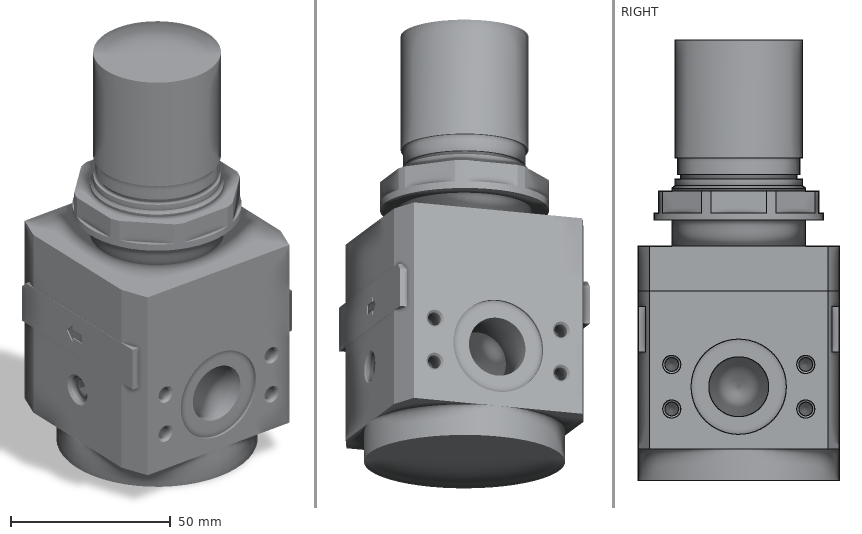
import cadquery as cq
import math

base_top = 10.0
bonnet_bottom = 59.3
bonnet_top = 73.4
nut_bottom = 81.5
nut_flats_bottom = 83.8
nut_top = 90.7
neck_chamfer_bottom = 91.5
neck_chamfer_top = 92.3
neck_top = 94.4
groove_top = 95.8
skirt_top = 101.0
knob_top = 138.0

block_width = 63.0
block_depth = 62.9
corner_cut_x = 9.0
corner_cut_y = 3.5

base_diameter = block_width
neck_diameter = 42.0
neck_lip_diameter = 40.0
groove_diameter = 36.5
skirt_diameter = 38.4
knob_diameter = 40.0

nut_diameter = 53.0
nut_across_flats = 50.1
nut_flat_count = 8

plate_width = 56.9
plate_bottom = 40.3
plate_top = 54.5
plate_corner_cut = 2.1
plate_depth = 4.1
plate_proud = 0.07

arrow_tip_x = -5.4
arrow_shoulder_x = -2.3
arrow_tail_x = 2.5
arrow_head_half_height = 3.0
arrow_shaft_half_height = 1.5
arrow_z = 46.9
arrow_depth = 0.4

port_z = 29.4
port_diameter = 18.8
port_depth = 19.3
spot_face_diameter = 29.8
spot_face_depth = 1.0
drill_point_angle = 118.0

hole_diameter = 4.3
hole_mouth_diameter = 5.7
hole_depth = 8.3
hole_spacing_y = 42.0
hole_spacing_z = 14.0

plug_z = 27.9
plug_mouth_diameter = 10.2
plug_bore_diameter = 8.5
plug_face_depth = 2.8
socket_mouth_across_flats = 5.5
socket_across_flats = 4.8
socket_depth = 2.8

half_width = block_width / 2
half_depth = block_depth / 2


def corner_cut_block(bottom, top):
    """Square prism with a shallow chamfer on each vertical corner."""
    flat_x = half_width - corner_cut_x
    flat_y = half_depth - corner_cut_y
    outline = [
        (half_width, -flat_y), (half_width, flat_y),
        (flat_x, half_depth), (-flat_x, half_depth),
        (-half_width, flat_y), (-half_width, -flat_y),
        (-flat_x, -half_depth), (flat_x, -half_depth),
    ]
    return cq.Workplane("XY").workplane(offset=bottom).polyline(outline).close().extrude(top - bottom)


def cylinder(diameter, bottom, top):
    """Round section centred on the Z axis."""
    return cq.Workplane("XY").workplane(offset=bottom).circle(diameter / 2).extrude(top - bottom)


def both_sides(shape, mirror_plane):
    """The shape together with its mirror image."""
    return shape.union(shape.mirror(mirror_plane))


def drilled_hole(y, z, profile):
    """Solid of revolution about a line along X that enters the -X face at (y, z).

    The profile lists (depth, radius) from the axis at the face to the axis at the hole's end.
    """
    return (
        cq.Workplane("XY", origin=(-half_width, y, z))
        .polyline(profile).close()
        .revolve(360, (0, 0, 0), (1, 0, 0))
    )


def drill_point_length(diameter):
    return diameter / 2 / math.tan(math.radians(drill_point_angle / 2))


def port_cutter():
    """Spot face and pointed bore of one port."""
    bore_radius = port_diameter / 2
    spot_face_radius = spot_face_diameter / 2
    tip_depth = port_depth + drill_point_length(port_diameter)
    return drilled_hole(0, port_z, [
        (0, 0), (0, spot_face_radius), (spot_face_depth, spot_face_radius),
        (spot_face_depth, bore_radius), (port_depth, bore_radius), (tip_depth, 0),
    ])


def mounting_hole_cutter(y, z):
    """Countersunk blind hole with a drill point."""
    bore_radius = hole_diameter / 2
    mouth_radius = hole_mouth_diameter / 2
    countersink_depth = mouth_radius - bore_radius
    tip_depth = hole_depth + drill_point_length(hole_diameter)
    return drilled_hole(y, z, [
        (0, 0), (0, mouth_radius), (countersink_depth, bore_radius),
        (hole_depth, bore_radius), (tip_depth, 0),
    ])


def front_plane(depth):
    """Sketch plane parallel to the front face, the given depth behind it, facing -Y."""
    return cq.Workplane("XZ", origin=(0, -half_depth + depth, 0))


def flow_plate():
    """Front plate with one cut corner."""
    half_plate = plate_width / 2
    outline = [
        (-half_plate, plate_bottom), (half_plate, plate_bottom), (half_plate, plate_top),
        (-half_plate + plate_corner_cut, plate_top), (-half_plate, plate_top - plate_corner_cut),
    ]
    return front_plane(-plate_proud).polyline(outline).close().extrude(-plate_depth)


def arrow_cutter():
    """Flow arrow engraved in the front plate."""
    upper_side = [
        (arrow_shoulder_x, arrow_head_half_height), (arrow_shoulder_x, arrow_shaft_half_height),
        (arrow_tail_x, arrow_shaft_half_height),
    ]
    lower_side = [(x, -z) for x, z in reversed(upper_side)]
    outline = [(arrow_tip_x, 0)] + upper_side + lower_side
    return front_plane(-plate_proud).center(0, arrow_z).polyline(outline).close().extrude(-arrow_depth)


def hexagon_prism(across_flats, start_depth, length, taper=0):
    """Hexagon at the plug axis, running inward from the given depth, with a corner on top."""
    corner_diameter = across_flats / math.cos(math.pi / 6)
    return (
        front_plane(start_depth).center(0, plug_z).transformed(rotate=(0, 0, 90))
        .polygon(6, corner_diameter).extrude(-length, taper=taper)
    )


def plug_cutter():
    """Countersunk recess with a hexagon socket, chamfered at its mouth, in its floor."""
    countersink_depth = (plug_mouth_diameter - plug_bore_diameter) / 2
    mouth_depth = (socket_mouth_across_flats - socket_across_flats) / 2
    plug_axis = front_plane(0).center(0, plug_z)
    countersink = plug_axis.circle(plug_mouth_diameter / 2).extrude(-countersink_depth, taper=45)
    bore = plug_axis.circle(plug_bore_diameter / 2).extrude(-plug_face_depth)
    socket_mouth = hexagon_prism(socket_mouth_across_flats, plug_face_depth, mouth_depth, taper=45)
    socket = hexagon_prism(socket_across_flats, plug_face_depth, socket_depth)
    return countersink.union(bore).union(socket_mouth).union(socket)


def make_housing():
    """Lower block with its round base, flow plates, ports, mounting holes and plug recesses."""
    body = corner_cut_block(base_top, bonnet_bottom).union(cylinder(base_diameter, 0, base_top))
    body = body.union(both_sides(flow_plate(), "XZ"))
    body = body.cut(both_sides(arrow_cutter(), "XZ"))
    body = body.cut(both_sides(plug_cutter(), "XZ"))
    body = body.cut(both_sides(port_cutter(), "YZ"))
    for y in (-hole_spacing_y / 2, hole_spacing_y / 2):
        for z in (port_z - hole_spacing_z / 2, port_z + hole_spacing_z / 2):
            body = body.cut(both_sides(mounting_hole_cutter(y, z), "YZ"))
    return body


def make_bonnet():
    """Upper block with its neck and the adjusting knob, grooved between the two."""
    turned_profile = [
        (0, bonnet_top),
        (neck_diameter / 2, bonnet_top), (neck_diameter / 2, neck_chamfer_bottom),
        (neck_lip_diameter / 2, neck_chamfer_top), (neck_lip_diameter / 2, neck_top),
        (groove_diameter / 2, neck_top), (groove_diameter / 2, groove_top),
        (skirt_diameter / 2, groove_top), (skirt_diameter / 2, skirt_top),
        (knob_diameter / 2, skirt_top), (knob_diameter / 2, knob_top),
        (0, knob_top),
    ]
    turned = cq.Workplane("XZ").polyline(turned_profile).close().revolve(360, (0, 0, 0), (0, 1, 0))
    return corner_cut_block(bonnet_bottom, bonnet_top).union(turned)


def make_nut():
    """Round panel nut with flats cut above its flange and a bore that fits the neck."""
    flats_height = nut_top - nut_flats_bottom
    corner_diameter = nut_across_flats / math.cos(math.pi / nut_flat_count)
    flats = (
        cq.Workplane("XY").workplane(offset=nut_flats_bottom)
        .transformed(rotate=(0, 0, 180 / nut_flat_count))
        .polygon(nut_flat_count, corner_diameter).extrude(flats_height)
    )
    wrench_part = cylinder(nut_diameter, nut_flats_bottom, nut_top).intersect(flats)
    flange = cylinder(nut_diameter, nut_bottom, nut_flats_bottom)
    return flange.union(wrench_part).cut(cylinder(neck_diameter, nut_bottom, nut_top))


housing = make_housing()
bonnet = make_bonnet()
nut = make_nut()

result = cq.Compound.makeCompound([housing.val(), bonnet.val(), nut.val()])